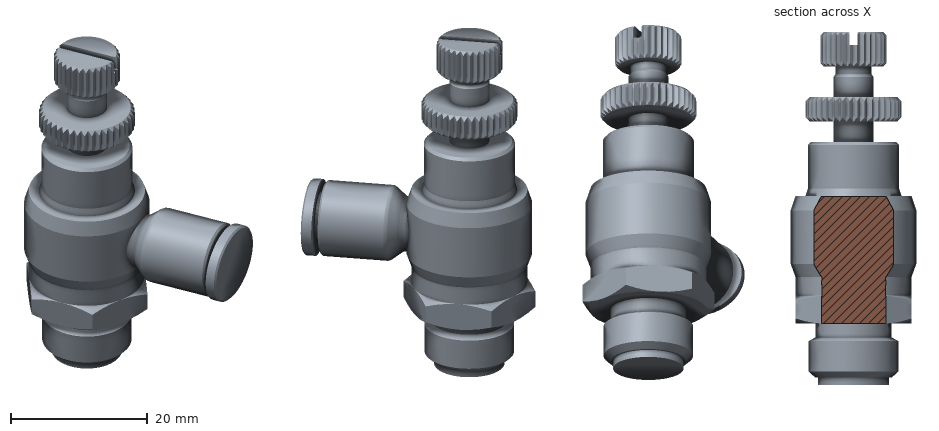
import cadquery as cq
import math

z_foot_top = 1.1
z_thread_bottom = 1.95
z_thread_top = 6.45
z_undercut_bottom = 7.0
z_hex_bottom = 9.0
z_hex_top = 13.1
z_body_bottom = 15.8
z_body_lower_edge = 17.75
z_body_upper_edge = 25.6
z_body_top = 27.7
z_bonnet_flare_top = 28.8
z_bonnet_edge = 35.15
z_bonnet_top = 35.55
z_nut_bottom = 38.55
z_nut_top = 42.2
z_stem_edge = 45.1
z_stem_neck = 45.55
z_knob_bottom = 46.65
z_knob_top = 51.7

hex_flats = 17.0
hex_corner_radius = hex_flats / math.sqrt(3)
hex_chamfer_angle = math.radians(30)

r_foot = 5.15
r_undercut = 5.6
r_thread = 6.55
r_neck = hex_flats / 2
r_body = 9.2
r_bonnet_base = 7.05
r_bonnet = 6.65
r_stem = 2.95
r_stem_neck = 2.65
bonnet_chamfer = z_bonnet_top - z_bonnet_edge

root_flat_share = 0.1
face_inset = 0.05
nut_tip_radius = 7.05
nut_root_radius = 6.45
nut_teeth = 40
knob_tip_radius = 4.85
knob_root_radius = 4.4
knob_teeth = 30
nut_first_tip = math.pi / 2 + math.pi / nut_teeth
knob_first_tip = math.pi / 2
slot_width = 1.2
slot_depth = 1.9

port_height = 21.45
r_port_neck = 4.0
r_sleeve = 5.6
x_port_cone_start = 9.45
x_port_cone_end = 11.5
x_sleeve_end = 21.6
port_blend = 0.95
sleeve_chamfer = 0.3
r_groove = 3.75
x_collar_start = 22.35
x_collar_end = 23.95
collar_half_width = 6.5
collar_half_height = 5.5
collar_chamfer = 0.25


def turned_body():
    """Everything round about the vertical axis, from the foot to the stem."""
    outline = [
        (0, 0),
        (r_foot, 0),
        (r_foot, z_foot_top),
        (r_undercut, z_foot_top),
        (r_thread, z_thread_bottom),
        (r_thread, z_thread_top),
        (r_undercut, z_undercut_bottom),
        (r_undercut, z_hex_bottom),
        (r_neck, z_hex_bottom),
        (r_neck, z_body_bottom),
        (r_body, z_body_lower_edge),
        (r_body, z_body_upper_edge),
        (r_neck, z_body_top),
        (r_bonnet_base, z_body_top),
        (r_bonnet, z_bonnet_flare_top),
        (r_bonnet, z_bonnet_edge),
        (r_bonnet - bonnet_chamfer, z_bonnet_top),
        (r_stem, z_bonnet_top),
        (r_stem, z_stem_edge),
        (r_stem_neck, z_stem_neck),
        (r_stem_neck, z_knob_bottom),
        (0, z_knob_bottom),
    ]
    return cq.Workplane("XZ").polyline(outline).close().revolve(360, (0, 0, 0), (0, 1, 0))


def double_coned_disc(z_bottom, z_top, r_face, r_rim, cone_drop):
    """Disc whose rim is bevelled towards both end faces."""
    outline = [
        (0, z_bottom),
        (r_face, z_bottom),
        (r_rim, z_bottom + cone_drop),
        (r_rim, z_top - cone_drop),
        (r_face, z_top),
        (0, z_top),
    ]
    return cq.Workplane("XZ").polyline(outline).close().revolve(360, (0, 0, 0), (0, 1, 0))


def hexagon():
    """Spanner hexagon with 30 degree corner chamfers and corners on the X axis."""
    prism = (
        cq.Workplane("XY", origin=(0, 0, z_hex_bottom))
        .polygon(6, 2 * hex_corner_radius)
        .extrude(z_hex_top - z_hex_bottom)
    )
    drop = (hex_corner_radius - r_neck) * math.tan(hex_chamfer_angle)
    blank = double_coned_disc(z_hex_bottom, z_hex_top, r_neck, hex_corner_radius, drop)
    return prism.intersect(blank)


def knurled_disc(z_bottom, z_top, r_root, r_tip, teeth, first_tip):
    """Straight-knurled disc with pointed teeth, flat gaps and a 45 degree bevel at both faces."""
    pitch = 2 * math.pi / teeth
    half_tooth = (1 - root_flat_share) * pitch / 2
    outline = []
    for tooth in range(teeth):
        tip_angle = first_tip + tooth * pitch
        for radius, angle in (
            (r_root, tip_angle - half_tooth),
            (r_tip, tip_angle),
            (r_root, tip_angle + half_tooth),
        ):
            outline.append((radius * math.cos(angle), radius * math.sin(angle)))
    star = cq.Workplane("XY", origin=(0, 0, z_bottom)).polyline(outline).close().extrude(z_top - z_bottom)
    r_face = r_root - face_inset
    return star.intersect(double_coned_disc(z_bottom, z_top, r_face, r_tip, r_tip - r_face))


def knob():
    """Knurled adjusting knob with a screwdriver slot along X."""
    disc = knurled_disc(
        z_knob_bottom, z_knob_top, knob_root_radius, knob_tip_radius, knob_teeth, knob_first_tip
    )
    slot = (
        cq.Workplane("XY", origin=(0, 0, z_knob_top - slot_depth))
        .rect(2 * knob_tip_radius, slot_width)
        .extrude(slot_depth)
    )
    return disc.cut(slot)


def port():
    """Side sleeve with a blended conical shoulder and a grooved neck behind the collar."""
    outline = [
        (0, 0),
        (0, r_port_neck),
        (x_port_cone_start, r_port_neck),
        (x_port_cone_end, r_sleeve),
        (x_sleeve_end - sleeve_chamfer, r_sleeve),
        (x_sleeve_end, r_sleeve - sleeve_chamfer),
        (x_sleeve_end, r_groove),
        (x_collar_start, r_groove),
        (x_collar_start, 0),
    ]
    sleeve = cq.Workplane("XZ").polyline(outline).close().revolve(360, (0, 0, 0), (1, 0, 0))
    shoulder_zone = cq.selectors.BoxSelector(
        (x_port_cone_start - port_blend, -r_sleeve, -r_sleeve),
        (x_port_cone_end + port_blend, r_sleeve, r_sleeve),
    )
    sleeve = sleeve.edges("%CIRCLE").edges(shoulder_zone).fillet(port_blend)
    return sleeve.translate((0, 0, port_height))


def release_collar():
    """Oval release collar, wider along Y, with a chamfered outer rim."""
    return (
        cq.Workplane("YZ", origin=(x_collar_start, 0, port_height))
        .ellipse(collar_half_width, collar_half_height)
        .extrude(x_collar_end - x_collar_start)
        .faces(">X")
        .chamfer(collar_chamfer)
    )


lock_nut = knurled_disc(z_nut_bottom, z_nut_top, nut_root_radius, nut_tip_radius, nut_teeth, nut_first_tip)

result = turned_body()
for piece in (hexagon(), lock_nut, knob(), port(), release_collar()):
    result = result.union(piece)